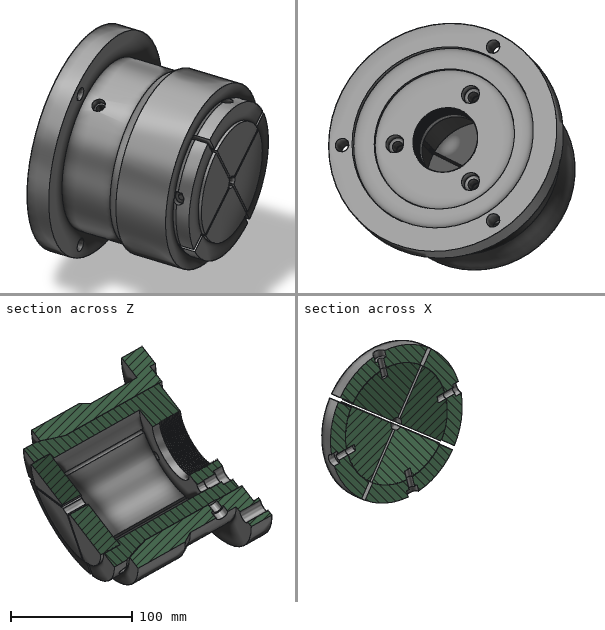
import cadquery as cq
import math

flange_thickness = 20.5
neck_end = 65.5
shoulder_end = 74.0
housing_length = 120.5
rim_start = 123.8
rim_end = 136.1
chuck_length = 139.0

flange_radius = 97.5
neck_radius = 74.7
barrel_radius = 80.0
front_recess_radius = 77.5
front_recess_depth = 5.0
guide_bore_radius = 59.9

collet_face = 8.0
thread_length = 20.7
thread_radius = 27.5
thread_pitch = 1.5
thread_depth = 0.8
plain_bore_length = 7.0
cavity_radius = 47.0
rim_radius = 68.2
mouth_radius = 67.0
collet_slot_width = 3.7

pad_count = 4
pad_radius = 52.3
pad_bore_radius = 5.3
pad_slot_width = 2.0
pad_back = housing_length
first_pad_angle = 165.0

hole_count = 3
flange_hole_circle = 86.0
flange_hole_radius = 5.7
bolt_circle = 43.0
bolt_head_radius = 7.6
bolt_head_depth = 9.0
bolt_clearance_radius = 4.5
bolt_thread_radius = 3.9
neck_hole_station = 34.3
neck_hole_radius = 5.7
neck_hole_depth = 6.8
neck_drill_radius = 3.9

pad_screw_station = 124.5
pad_screw_head_radius = 5.5
pad_screw_head_floor = 62.0
pad_screw_radius = 2.7
pad_screw_bite = 7.8

thread_end = collet_face + thread_length
cavity_floor = thread_end + plain_bore_length
taper_slope = (rim_radius - mouth_radius) / (rim_start - housing_length)
taper_start = rim_start - (rim_radius - guide_bore_radius) / taper_slope
hole_angles = [360.0 * i / hole_count for i in range(hole_count)]
pad_angles = [first_pad_angle + 360.0 * i / pad_count for i in range(pad_count)]
half_pad_angle = 180.0 / pad_count


def revolved(profile):
    """Turn a closed outline of (station, radius) points about the X axis."""
    return cq.Workplane("XY").polyline(profile).close().revolve(360, (0, 0, 0), (1, 0, 0))


def axial_hole(circle_radius, angle, radius, start, end):
    """Cylinder along X, at an angle from +Y towards +Z."""
    y = circle_radius * math.cos(math.radians(angle))
    z = circle_radius * math.sin(math.radians(angle))
    return cq.Solid.makeCylinder(radius, end - start, cq.Vector(start, y, z), cq.Vector(1, 0, 0))


def radial_hole(station, angle, radius, inner, outer):
    """Cylinder pointing outward from the X axis, at an angle from +Y towards +Z."""
    outward = cq.Vector(0, math.cos(math.radians(angle)), math.sin(math.radians(angle)))
    base = cq.Vector(station, 0, 0) + outward * inner
    return cq.Solid.makeCylinder(radius, outer - inner, base, outward)


def radial_slot(angle, width, start):
    """Slab from the axis outward, open at the front end, at an angle from +Y towards +Z."""
    slab = cq.Workplane("XY").box(chuck_length - start, flange_radius, width, centered=(False, False, True))
    return slab.translate((start, 0, 0)).rotate((0, 0, 0), (1, 0, 0), angle)


def threaded_wall():
    """Bore wall points from the thread end to the collet face, with V grooves standing in for the thread."""
    groove_count = math.floor(thread_length / thread_pitch)
    points = [(thread_end, thread_radius)]
    for i in range(groove_count):
        groove_end = thread_end - i * thread_pitch
        points.append((groove_end - thread_pitch / 2, thread_radius + thread_depth))
        points.append((groove_end - thread_pitch, thread_radius))
    points.append((collet_face, thread_radius))
    return points


def make_housing():
    """Flanged housing with a guide bore that flares into a tapered seat."""
    housing = revolved([
        (0, front_recess_radius),
        (0, flange_radius),
        (flange_thickness, flange_radius),
        (flange_thickness, neck_radius),
        (neck_end, neck_radius),
        (shoulder_end, barrel_radius),
        (housing_length, barrel_radius),
        (housing_length, mouth_radius),
        (taper_start, guide_bore_radius),
        (front_recess_depth, guide_bore_radius),
        (front_recess_depth, front_recess_radius),
    ])
    head_floor = neck_radius - neck_hole_depth
    for angle in hole_angles:
        housing = housing.cut(axial_hole(flange_hole_circle, angle, flange_hole_radius, 0, flange_thickness))
        housing = housing.cut(radial_hole(neck_hole_station, angle, neck_hole_radius, head_floor, barrel_radius))
        housing = housing.cut(radial_hole(neck_hole_station, angle, neck_drill_radius, 0, head_floor))
    return housing


def cut_bolt_holes(collet):
    """Three stepped holes through the disc at the back of the collet."""
    head_floor = collet_face + bolt_head_depth
    for angle in hole_angles:
        collet = collet.cut(axial_hole(bolt_circle, angle, bolt_head_radius, collet_face, head_floor))
        collet = collet.cut(axial_hole(bolt_circle, angle, bolt_clearance_radius, head_floor, thread_end))
        collet = collet.cut(axial_hole(bolt_circle, angle, bolt_thread_radius, thread_end, cavity_floor))
    return collet


def make_collet():
    """Threaded disc with a slotted, flared sleeve whose rim holds the pads."""
    collet = revolved([
        (collet_face, guide_bore_radius),
        (taper_start, guide_bore_radius),
        (rim_start, rim_radius),
        (rim_end, rim_radius),
        (rim_end, pad_radius),
        (pad_back, pad_radius),
        (pad_back, cavity_radius),
        (cavity_floor, cavity_radius),
        (cavity_floor, thread_radius),
        *threaded_wall(),
    ])
    collet = cut_bolt_holes(collet)
    for angle in pad_angles:
        collet = collet.cut(radial_slot(angle + half_pad_angle, collet_slot_width, cavity_floor))
        collet = collet.cut(
            radial_hole(pad_screw_station, angle, pad_screw_head_radius, pad_screw_head_floor, flange_radius)
        )
        collet = collet.cut(radial_hole(pad_screw_station, angle, pad_screw_radius, 0, pad_screw_head_floor))
    return collet


def make_pad(middle_angle):
    """Quarter disc with half a slot taken off each side and a blind radial screw hole."""
    disc = revolved([
        (pad_back, pad_bore_radius),
        (pad_back, pad_radius),
        (chuck_length, pad_radius),
        (chuck_length, pad_bore_radius),
    ])
    half_slot = pad_slot_width / 2
    quadrant = cq.Workplane("XY").box(chuck_length, pad_radius, pad_radius, centered=False)
    pad = disc.intersect(quadrant.translate((0, half_slot, half_slot)))
    pad = pad.rotate((0, 0, 0), (1, 0, 0), middle_angle - half_pad_angle)
    hole_bottom = pad_radius - pad_screw_bite
    return pad.cut(radial_hole(pad_screw_station, middle_angle, pad_screw_radius, hole_bottom, flange_radius))


housing = make_housing()
collet = make_collet()
pads = [make_pad(angle) for angle in pad_angles]

result = cq.Compound.makeCompound([housing.val(), collet.val(), *[pad.val() for pad in pads]])